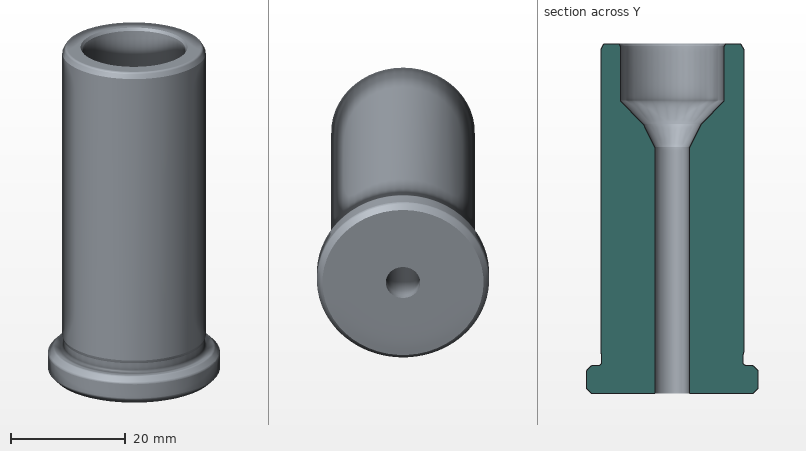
import cadquery as cq

total_height = 61.0
flange_radius = 30.0 / 2
flange_height = 5.0
flange_chamfer = 1.0
edge_round = 0.5

barrel_radius = 25.0 / 2
barrel_bottom = 7.25
rim_inset = 0.55
rim_taper_height = 1.05
groove_radius = 24.7 / 2
groove_top = 6.7

bore_radius = 18.0 / 2
bore_depth = 10.0
bore_chamfer_width = 0.3
bore_chamfer_depth = 0.5
throat_radius = 10.0 / 2
hole_radius = 6.0 / 2
cone_depth = 4.0
throat_depth = 4.0


def revolve_about_z(profile):
    return profile.close().revolve(360, (0, 0, 0), (0, 1, 0))


def round_ring_edge(body, radius, height):
    """Round the circular edge that has the given radius and height."""
    tolerance = 0.005

    def is_wanted(edge):
        if edge.geomType() != "CIRCLE":
            return False
        same_radius = abs(edge.radius() - radius) < tolerance
        same_height = abs(edge.Center().z - height) < tolerance
        return same_radius and same_height

    wanted = [edge for edge in body.edges().vals() if is_wanted(edge)]
    return body.newObject(wanted).fillet(edge_round)


def make_body():
    """Flange, relief groove and barrel as one turned solid."""
    profile = (
        cq.Workplane("XZ")
        .lineTo(flange_radius - flange_chamfer, 0)
        .lineTo(flange_radius, flange_chamfer)
        .lineTo(flange_radius, flange_height - flange_chamfer)
        .lineTo(flange_radius - flange_chamfer, flange_height)
        .lineTo(groove_radius, flange_height)
        .lineTo(groove_radius, groove_top)
        .lineTo(barrel_radius, barrel_bottom)
        .lineTo(barrel_radius, total_height - rim_taper_height)
        .lineTo(barrel_radius - rim_inset, total_height)
        .lineTo(0, total_height)
    )
    body = revolve_about_z(profile)
    rounded_edges = (
        (flange_radius, flange_chamfer),
        (flange_radius, flange_height - flange_chamfer),
        (flange_radius - flange_chamfer, flange_height),
        (groove_radius, flange_height),
        (barrel_radius - rim_inset, total_height),
    )
    for radius, height in rounded_edges:
        body = round_ring_edge(body, radius, height)
    return body


def make_bore():
    """Chamfered bore narrowing through two cones into the through hole."""
    bore_floor = total_height - bore_depth
    cone_floor = bore_floor - cone_depth
    throat_floor = cone_floor - throat_depth
    profile = (
        cq.Workplane("XZ")
        .lineTo(hole_radius, 0)
        .lineTo(hole_radius, throat_floor)
        .lineTo(throat_radius, cone_floor)
        .lineTo(bore_radius, bore_floor)
        .lineTo(bore_radius, total_height - bore_chamfer_depth)
        .lineTo(bore_radius + bore_chamfer_width, total_height)
        .lineTo(0, total_height)
    )
    return revolve_about_z(profile)


result = make_body().cut(make_bore())